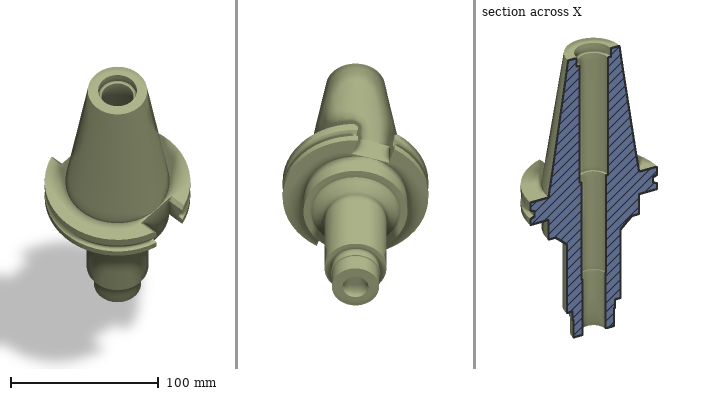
import cadquery as cq

total_height = 218.5

taper_top_radius = 20.0
body_radius = 35.2
taper_length = 101.5
flange_radius = 49.25
flange_top = 115.5
flange_bottom = 97.6
body_bottom = 82.1
cone_top_radius = 29.7
cone_bottom = 74.3
shank_radius = 21.0
shank_bottom = 20.5
collar_radius = 16.5
collar_bottom = 13.8
nose_radius = 16.0

groove_floor_radius = 46.3
groove_top = 109.0
groove_bottom = 102.5
groove_flank_height = 1.3

bore_steps = [
    (13.0, 6.5),
    (11.0, 98.3),
    (9.5, 174.7),
    (8.7, total_height),
]

slot_width = 25.8
slot_chamfer = 2.6
left_slot_floor = 37.8
right_slot_floor = 35.4
dimple_diameter = 10.0
dimple_depth = 2.2
dimple_height = 106.0


def make_body():
    """Revolve the half profile around Z."""
    profile = [
        (0, total_height),
        (taper_top_radius, total_height),
        (body_radius, total_height - taper_length),
        (body_radius, flange_top),
        (flange_radius, flange_top),
        (flange_radius, groove_top),
        (groove_floor_radius, groove_top - groove_flank_height),
        (groove_floor_radius, groove_bottom + groove_flank_height),
        (flange_radius, groove_bottom),
        (flange_radius, flange_bottom),
        (body_radius, flange_bottom),
        (body_radius, body_bottom),
        (cone_top_radius, body_bottom),
        (shank_radius, cone_bottom),
        (shank_radius, shank_bottom),
        (collar_radius, shank_bottom),
        (collar_radius, collar_bottom),
        (nose_radius, collar_bottom),
        (nose_radius, 0),
        (0, 0),
    ]
    return cq.Workplane("XZ").polyline(profile).close().revolve(360, (0, 0), (0, 1))


def make_bore_step(radius, depth):
    """Cylinder reaching down from the taper end."""
    return cq.Workplane("XY").workplane(offset=total_height - depth).circle(radius).extrude(depth)


def make_slot(floor_distance, side):
    """Drive slot with chamfered top edges; side is -1 or 1 along X."""
    half_width = slot_width / 2
    top_half_width = half_width + slot_chamfer
    outline = [
        (-half_width, flange_bottom),
        (half_width, flange_bottom),
        (half_width, flange_top - slot_chamfer),
        (top_half_width, flange_top),
        (-top_half_width, flange_top),
        (-half_width, flange_top - slot_chamfer),
    ]
    floor = cq.Workplane("YZ").workplane(offset=side * floor_distance)
    return floor.polyline(outline).close().extrude(side * flange_radius)


def make_dimple():
    """Shallow round recess in the floor of the -X slot."""
    floor = cq.Workplane("YZ").workplane(offset=-left_slot_floor)
    return floor.center(0, dimple_height).circle(dimple_diameter / 2).extrude(dimple_depth)


result = make_body()
for step_radius, step_depth in bore_steps:
    result = result.cut(make_bore_step(step_radius, step_depth))
result = result.cut(make_slot(left_slot_floor, -1))
result = result.cut(make_slot(right_slot_floor, 1))
result = result.cut(make_dimple())